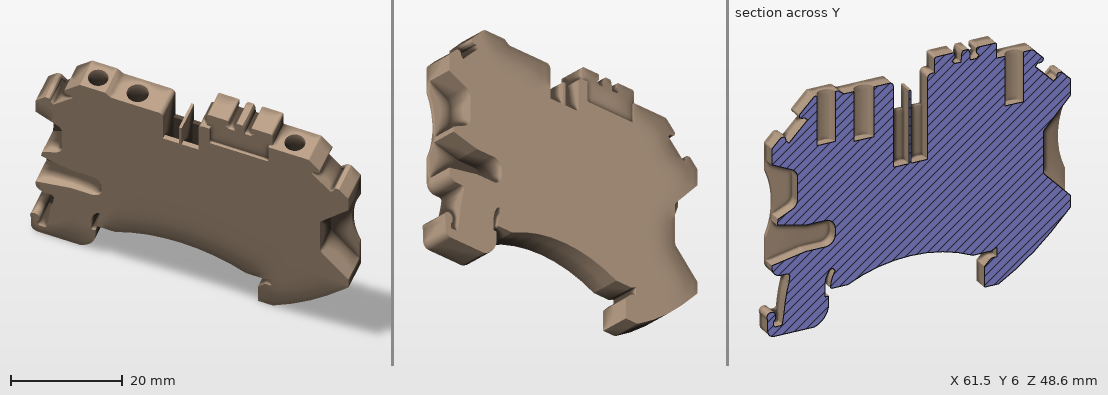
import cadquery as cq
import math

LENGTH = 61.48
THICKNESS = 6.0
HEIGHT = 48.58

BODY_LEFT = 1.05
MIRROR_X = (BODY_LEFT + LENGTH) / 2
TOP_Z = 45.49
CORNER_Z = 37.8
CORNER_RADIUS = 0.5
BODY_FLOOR_Z = 11.95
BODY_FLOOR_RADIUS = 1.85

SHOULDER_Z = 46.37
SHOULDER_LEFT = BODY_LEFT + SHOULDER_Z - CORNER_Z
SHOULDER_RIGHT = 14.5
SHOULDER_SLOPE_END = 15.6
SHOULDER_RADIUS = 0.75

GRIP_TOP_Z = 32.3
GRIP_BOTTOM_Z = 19.0
GRIP_MID_Z = (GRIP_TOP_Z + GRIP_BOTTOM_Z) / 2
GRIP_DEPTH = 1.4

UNDERSIDE_Z = 6.94
ARCH_LEFT = 16.4
ARCH_RIGHT = 41.7
ARCH_CENTER = (ARCH_LEFT + ARCH_RIGHT) / 2
ARCH_TOP_Z = 9.82

STEP_Z = 5.63
FOOT_RIGHT = 12.6
FOOT_LEFT = 0.17
FOOT_RADIUS = 1.4
FOOT_TOE_X = 9.6
FOOT_TOE_MID = (11.4, 1.12)
FOOT_TOE_TOP_Z = 4.0
LIP_RADIUS = 0.93
LIP_CENTER_X = LIP_RADIUS
LIP_CENTER_Z = 4.12
LIP_INNER_ANGLE = 37
LIP_SHEAR_Z = 3.5
NECK_TOP_X = 4.72
NECK_RADIUS = 0.55
NECK_BEND = (4.42, 10.0)
NECK_MID = (3.93, 7.8)
NECK_BOTTOM = (3.47, 4.35)
SLIT_LEFT = 11.85

RIGHT_FOOT_LEFT = 44.0
RIGHT_FOOT_INNER = 46.5
RIGHT_FOOT_HEEL = 46.87
RIGHT_FOOT_SHOULDER_Z = 4.19
UNDERCUT_Z = 7.35

GAP_LEFT = 25.65
GAP_RIGHT = 32.5
GAP_FLOOR_Z = 38.43
GAP_RADIUS = 0.85
WELL_FLOOR_Z = GAP_FLOOR_Z - 10.0
WELL_FRONT_WALL = 0.9
WELL_BACK_WALL = 0.8
BLADE_LEFT = 28.75
BLADE_THICKNESS = 0.52
BLADE_TOP_Z = 43.06

POCKET_WEB = 0.75
HOOK_WEB = 0.55

MARKER_FRONT = 0.6
MARKER_LEFT = 33.9
MARKER_WIDTH = 12.65
MARKER_CENTER = MARKER_LEFT + MARKER_WIDTH / 2
MARKER_RADIUS = 0.45
SEAT_LEFT = 34.65
SEAT_RIGHT = 46.0
SEAT_FLOOR_Z = 41.35
SEAT_RADIUS = 0.35
GROOVE_FLOOR_Z = 46.37
GROOVE_MOUTH = 2.15
GROOVE_UNDERCUT = 2.7
GROOVE_UNDERCUT_RISE = 0.5
GROOVE_RADIUS = 0.35
RIB_HALF_WIDTH = 0.98
RIB_SHOULDER_HALF_WIDTH = 0.88
RIB_TOP_HALF_WIDTH = 0.6
RIB_SHOULDER_DROP = 0.7

HOLES = [
    (12.07, 3.69, SHOULDER_Z),
    (19.7, 4.0, TOP_Z),
    (50.05, 3.74, TOP_Z),
]
HOLE_Y = 2.72
HOLE_DEPTH = 10.0


def sketch():
    return cq.Workplane("XZ")


def slab(outline, front=0.0, back=THICKNESS):
    """Extrude a closed XZ outline between two Y levels."""
    return outline.close().extrude(front - back).translate((0, front, 0))


def box(left, right, bottom, top, front=0.0, back=THICKNESS):
    outline = sketch().polyline([(left, bottom), (right, bottom), (right, top), (left, top)])
    return slab(outline, front, back)


def mirrored(solid, plane_x=MIRROR_X):
    return solid.mirror("YZ", (plane_x, 0, 0))


def round_corner(solid, x, z, radius):
    """Fillet the edge along Y that stands at (x, z)."""
    reach = 0.05
    selector = cq.selectors.BoxSelector(
        (x - reach, -THICKNESS, z - reach),
        (x + reach, 2 * THICKNESS, z + reach),
    )
    return solid.edges("|Y").edges(selector).fillet(radius)


def lip_point(angle):
    """Point on the round hook lip at an angle in degrees from +X."""
    radians = math.radians(angle)
    return (
        LIP_CENTER_X + LIP_RADIUS * math.cos(radians),
        LIP_CENTER_Z + LIP_RADIUS * math.sin(radians),
    )


def housing():
    outline = (
        sketch()
        .moveTo(FOOT_LEFT, 0)
        .lineTo(FOOT_TOE_X, 0)
        .threePointArc(FOOT_TOE_MID, (FOOT_RIGHT, FOOT_TOE_TOP_Z))
        .lineTo(FOOT_RIGHT, STEP_Z)
        .lineTo(SLIT_LEFT, STEP_Z)
        .lineTo(SLIT_LEFT, 8.2)
        .threePointArc((12.12, 9.5), (12.66, 10.5))
        .threePointArc((13.3, 10.85), (13.75, 10.25))
        .threePointArc((13.15, 8.9), (12.9, 7.6))
        .threePointArc((12.95, 7.1), (13.4, UNDERSIDE_Z))
        .lineTo(ARCH_LEFT, UNDERSIDE_Z)
        .threePointArc((ARCH_CENTER, ARCH_TOP_Z), (ARCH_RIGHT, UNDERSIDE_Z))
        .lineTo(45.4, UNDERSIDE_Z)
        .lineTo(46.2, UNDERCUT_Z)
        .lineTo(RIGHT_FOOT_INNER, UNDERCUT_Z)
        .lineTo(RIGHT_FOOT_INNER, STEP_Z)
        .lineTo(45.7, STEP_Z)
        .lineTo(45.2, 5.42)
        .lineTo(RIGHT_FOOT_LEFT, RIGHT_FOOT_SHOULDER_Z)
        .lineTo(RIGHT_FOOT_LEFT, 0)
        .lineTo(RIGHT_FOOT_HEEL, 0)
        .threePointArc((52.3, 3.5), (57.46, 7.95))
        .lineTo(LENGTH, 12.1)
        .lineTo(LENGTH, GRIP_BOTTOM_Z)
        .threePointArc((LENGTH - GRIP_DEPTH, GRIP_MID_Z), (LENGTH, GRIP_TOP_Z))
        .lineTo(LENGTH, CORNER_Z)
        .lineTo(LENGTH - (TOP_Z - CORNER_Z), TOP_Z)
        .lineTo(GAP_RIGHT, TOP_Z)
        .lineTo(GAP_RIGHT, GAP_FLOOR_Z)
        .lineTo(GAP_LEFT, GAP_FLOOR_Z)
        .lineTo(GAP_LEFT, TOP_Z)
        .lineTo(SHOULDER_SLOPE_END, TOP_Z)
        .lineTo(SHOULDER_RIGHT, SHOULDER_Z)
        .lineTo(SHOULDER_LEFT, SHOULDER_Z)
        .lineTo(BODY_LEFT, CORNER_Z)
        .lineTo(BODY_LEFT, GRIP_TOP_Z)
        .threePointArc((BODY_LEFT + GRIP_DEPTH, GRIP_MID_Z), (BODY_LEFT, GRIP_BOTTOM_Z))
        .lineTo(BODY_LEFT, BODY_FLOOR_Z)
        .lineTo(NECK_TOP_X, BODY_FLOOR_Z)
        .lineTo(*NECK_BEND)
        .threePointArc(NECK_MID, NECK_BOTTOM)
        .threePointArc((2.75, 4.0), (2.1, 4.24))
        .lineTo(*lip_point(LIP_INNER_ANGLE))
        .threePointArc(lip_point(90), lip_point(180))
        .lineTo(FOOT_LEFT, LIP_SHEAR_Z)
    )
    body = slab(outline)
    corners = [
        (FOOT_LEFT, 0, FOOT_RADIUS),
        (LENGTH, CORNER_Z, CORNER_RADIUS),
        (LENGTH - (TOP_Z - CORNER_Z), TOP_Z, CORNER_RADIUS),
        (GAP_RIGHT, TOP_Z, GAP_RADIUS),
        (GAP_LEFT, TOP_Z, GAP_RADIUS),
        (SHOULDER_SLOPE_END, TOP_Z, SHOULDER_RADIUS),
        (BODY_LEFT, CORNER_Z, CORNER_RADIUS),
        (BODY_LEFT, BODY_FLOOR_Z, BODY_FLOOR_RADIUS),
        (NECK_TOP_X, BODY_FLOOR_Z, NECK_RADIUS),
    ]
    for x, z, radius in corners:
        body = round_corner(body, x, z, radius)
    return body


def hook_recess():
    """Undercut behind the lip of the left foot, closed by the back web."""
    lip_right = LIP_CENTER_X + LIP_RADIUS
    left = 1.45
    floor_z = 1.95
    right = 3.1
    floor_radius = 0.4
    outline = (
        sketch()
        .moveTo(*NECK_BOTTOM)
        .lineTo(right, floor_z)
        .lineTo(left, floor_z)
        .lineTo(left, 3.0)
        .lineTo(lip_right, LIP_SHEAR_Z)
        .lineTo(lip_right, LIP_CENTER_Z)
        .threePointArc(
            lip_point(LIP_INNER_ANGLE / 2),
            lip_point(LIP_INNER_ANGLE),
        )
    )
    recess = slab(outline, back=THICKNESS - HOOK_WEB)
    for x in (left, right):
        recess = round_corner(recess, x, floor_z, floor_radius)
    return recess


def corner_notch():
    """Dovetail notch in the left 45 degree face; its undercuts stop at the back web."""
    lip_end = (3.65, 39.65)
    nose_start = (6.92, 43.67)
    nose_tip = (6.56, 43.1)
    nose_end = (6.72, 42.68)
    straight = (
        sketch()
        .moveTo(0, lip_end[1])
        .lineTo(*lip_end)
        .lineTo(4.8, 38.5)
        .lineTo(7.8, 41.5)
        .lineTo(*nose_end)
        .threePointArc(nose_tip, nose_start)
        .lineTo(0, nose_start[1])
    )
    undercut = (
        sketch()
        .moveTo(*lip_end)
        .lineTo(3.87, 39.35)
        .lineTo(3.95, 38.75)
        .lineTo(4.5, 38.2)
        .lineTo(8.2, 41.9)
        .lineTo(7.74, 42.45)
        .lineTo(7.1, 42.45)
        .lineTo(*nose_end)
    )
    return slab(straight).union(slab(undercut, back=THICKNESS - HOOK_WEB))


def front_pocket(points, inner_corners, radius):
    """Pocket open to the front and the end, with its inner corners rounded."""
    pocket = slab(sketch().polyline(points), back=THICKNESS - POCKET_WEB)
    for x, z in inner_corners:
        pocket = round_corner(pocket, x, z, radius)
    return pocket


def left_upper_pocket():
    inner = [(6.2, 32.1), (6.2, 25.2)]
    return front_pocket([(0, 35.06), *inner, (0, 22.35)], inner, 1.9)


def left_lower_pocket():
    inner = [(13.82, 20.86), (13.82, 15.65)]
    flare_x = 7.85
    top_flare = (flare_x, inner[0][1])
    bottom_flare = (flare_x, inner[1][1])
    return front_pocket([(0, 22.75), top_flare, *inner, bottom_flare, (0, 14.17)], inner, 1.95)


def right_pocket():
    inner = [(56.0, 28.6), (56.0, 20.1)]
    return front_pocket([(LENGTH, 34.55), *inner, (LENGTH, 14.4)], inner, 0.9)


def gap_well():
    """Deep well below the floor of the central gap."""
    return box(
        GAP_LEFT, GAP_RIGHT, WELL_FLOOR_Z, GAP_FLOOR_Z,
        WELL_FRONT_WALL, THICKNESS - WELL_BACK_WALL,
    )


def separator_blade():
    return box(BLADE_LEFT, BLADE_LEFT + BLADE_THICKNESS, WELL_FLOOR_Z, BLADE_TOP_Z)


def hole(x, diameter, surface_z):
    return (
        cq.Workplane("XY", origin=(x, HOLE_Y, surface_z - HOLE_DEPTH))
        .circle(diameter / 2)
        .extrude(HOLE_DEPTH)
    )


def marker_seat():
    """Shallow recess in the front face below the marker."""
    seat = box(SEAT_LEFT, SEAT_RIGHT, SEAT_FLOOR_Z, TOP_Z, 0, MARKER_FRONT)
    return seat.edges("|Y and <Z").fillet(SEAT_RADIUS)


def marker_groove():
    """Snap groove left of the marker's middle rib."""
    mouth_x = MARKER_CENTER - GROOVE_MOUTH
    neck_z = (GROOVE_FLOOR_Z + HEIGHT) / 2
    outline = (
        sketch()
        .moveTo(MARKER_CENTER - RIB_HALF_WIDTH, GROOVE_FLOOR_Z)
        .lineTo(MARKER_CENTER - RIB_SHOULDER_HALF_WIDTH, HEIGHT - RIB_SHOULDER_DROP)
        .lineTo(MARKER_CENTER - RIB_TOP_HALF_WIDTH, HEIGHT)
        .lineTo(mouth_x - GROOVE_RADIUS, HEIGHT)
        .radiusArc((mouth_x, HEIGHT - GROOVE_RADIUS), GROOVE_RADIUS)
        .lineTo(mouth_x, neck_z)
        .lineTo(MARKER_CENTER - GROOVE_UNDERCUT, GROOVE_FLOOR_Z + GROOVE_UNDERCUT_RISE)
        .lineTo(mouth_x, GROOVE_FLOOR_Z)
    )
    return slab(outline)


def marker():
    tag = box(MARKER_LEFT, MARKER_LEFT + MARKER_WIDTH, TOP_Z, HEIGHT, MARKER_FRONT)
    tag = tag.edges("|Y and >Z").fillet(MARKER_RADIUS)
    groove = marker_groove()
    return tag.cut(groove).cut(mirrored(groove, MARKER_CENTER))


def build():
    notch = corner_notch()
    body = housing()
    cutters = [
        hook_recess(),
        notch,
        mirrored(notch),
        left_upper_pocket(),
        left_lower_pocket(),
        right_pocket(),
        gap_well(),
        marker_seat(),
    ]
    for cutter in cutters:
        body = body.cut(cutter)
    for x, diameter, surface_z in HOLES:
        body = body.cut(hole(x, diameter, surface_z))
    return body.union(separator_blade()).union(marker())


result = build()